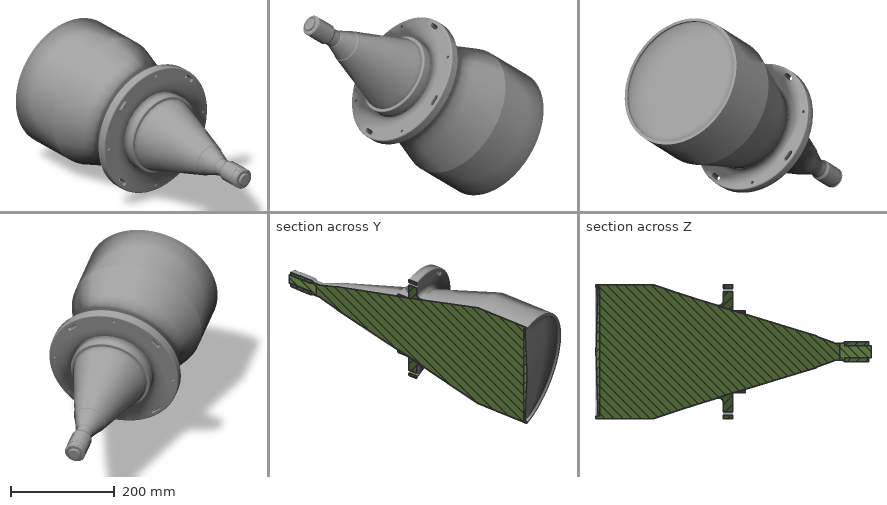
import cadquery as cq
import math

total_length = 531.0
mouth_radius = 130.0

cylinder_length = 110.0
knee_x = 236.5
knee_radius = 89.0
cone_end_x = 425.0
cone_end_radius = 31.5
cone_end_chamfer = 1.5
tip_end_x = 459.0
tip_end_radius = 18.0
tip_end_chamfer = 1.0
neck_radius = tip_end_radius - tip_end_chamfer
neck_end_x = 470.5

lens_radius = 124.0
lens_rim_setback = 4.0
lens_rim_thickness = 4.0
lens_back_x = lens_rim_setback + lens_rim_thickness

hub_front_x = knee_x
hub_radius = knee_radius + 0.5
hub_fillet = 8.0
flange_front_x = 245.5
flange_thickness = 19.0
flange_back_x = flange_front_x + flange_thickness
flange_edge_fillet = 2.5
collar_radius = 79.5
collar_back_x = 288.5
collar_edge_fillet = 2.0
bolt_circle_radius = 119.0
slot_length = 23.0
slot_width = 8.5
slot_count = 4
first_slot_angle = 45.0
pin_hole_diameter = 6.5
pin_hole_count = 4

shoulder_cone_x = 476.0
nut_front_x = 480.5
stem_radius = 12.0
stem_chamfer = 1.0

nut_radius = 20.0
nut_back_x = 527.0
nut_edge_chamfer = 1.5
ring_groove_x = 522.0
ring_groove_width = 2.0
ring_groove_depth = 0.8
grip_count = 3
grip_front_x = 513.5
grip_depth = 0.5
land_angle = 38.0
pointer_front_x = 508.5
pointer_width = 1.5
pointer_depth = 0.8


def revolve_about_x(profile, angle=360):
    """Close an (x, radius) outline drawn toward +Z and turn it about the X axis."""
    return profile.close().revolve(angle, (0, 0, 0), (1, 0, 0))


def outline(points):
    """Open chain of straight lines through (x, radius) points."""
    return cq.Workplane("XZ").polyline(points)


def rear_cone_radius(x):
    """Radius of the horn's rear taper, which the flange bore follows."""
    slope = (cone_end_radius - knee_radius) / (cone_end_x - knee_x)
    return knee_radius + slope * (x - knee_x)


def make_lens():
    return revolve_about_x(outline([
        (0, 0),
        (lens_rim_setback, lens_radius),
        (lens_back_x, lens_radius),
        (lens_back_x, 0),
    ]))


def make_horn():
    return revolve_about_x(outline([
        (lens_back_x, 0),
        (lens_back_x, lens_radius),
        (0, lens_radius),
        (0, mouth_radius),
        (cylinder_length, mouth_radius),
        (knee_x, knee_radius),
        (cone_end_x, cone_end_radius),
        (cone_end_x + cone_end_chamfer, cone_end_radius - cone_end_chamfer),
        (tip_end_x, tip_end_radius),
        (tip_end_x + tip_end_chamfer, neck_radius),
        (neck_end_x, neck_radius),
        (neck_end_x, 0),
    ]))


def make_flange():
    fillet_start_x = flange_front_x - hub_fillet
    fillet_outer_radius = hub_radius + hub_fillet
    fillet_mid_offset = hub_fillet * math.sqrt(0.5)
    ring = revolve_about_x(
        cq.Workplane("XZ")
        .moveTo(hub_front_x, knee_radius)
        .lineTo(hub_front_x, hub_radius)
        .lineTo(fillet_start_x, hub_radius)
        .threePointArc(
            (fillet_start_x + fillet_mid_offset, fillet_outer_radius - fillet_mid_offset),
            (flange_front_x, fillet_outer_radius),
        )
        .lineTo(flange_front_x, mouth_radius)
        .lineTo(flange_back_x, mouth_radius)
        .lineTo(flange_back_x, collar_radius)
        .lineTo(collar_back_x, collar_radius)
        .lineTo(collar_back_x, rear_cone_radius(collar_back_x))
    )
    rim_edges = cq.selectors.RadiusNthSelector(-1)
    ring = ring.edges("%CIRCLE").edges(rim_edges).fillet(flange_edge_fillet)
    ring = ring.faces(">X").edges(rim_edges).fillet(collar_edge_fillet)

    front_face = cq.Workplane("YZ", origin=(flange_front_x, 0, 0))
    slots = (
        front_face.polarArray(bolt_circle_radius, first_slot_angle, 360, slot_count)
        .slot2D(slot_length, slot_width, 90)
        .extrude(flange_thickness)
    )
    pin_holes = (
        front_face.polarArray(bolt_circle_radius, 0, 360, pin_hole_count)
        .circle(pin_hole_diameter / 2)
        .extrude(flange_thickness)
    )
    return ring.cut(slots).cut(pin_holes)


def make_plug_core():
    return revolve_about_x(outline([
        (neck_end_x, 0),
        (neck_end_x, neck_radius),
        (shoulder_cone_x, neck_radius),
        (nut_front_x, nut_radius),
        (nut_front_x, stem_radius),
        (total_length - stem_chamfer, stem_radius),
        (total_length, stem_radius - stem_chamfer),
        (total_length, 0),
    ]))


def turned(cutter, angle):
    return cutter.rotate((0, 0, 0), (1, 0, 0), angle)


def make_grip_recess():
    """Shallow finger recess in the nut, centred on the -Z side."""
    grip_angle = 360 / grip_count - land_angle
    floor_radius = nut_radius - grip_depth
    outer_radius = nut_radius + grip_depth
    sector = revolve_about_x(outline([
        (grip_front_x, floor_radius),
        (grip_front_x, outer_radius),
        (ring_groove_x, outer_radius),
        (ring_groove_x, floor_radius),
    ]), grip_angle)
    return turned(sector, 180 - grip_angle / 2)


def make_pointer_groove():
    """Lengthwise marking groove in the nut, on the +Z side."""
    length = ring_groove_x - pointer_front_x
    return (
        cq.Workplane("XY")
        .box(length, pointer_width, 2 * pointer_depth, centered=(False, True, True))
        .translate((pointer_front_x, 0, nut_radius))
    )


def make_nut():
    nut = revolve_about_x(outline([
        (nut_front_x, stem_radius),
        (nut_front_x, nut_radius),
        (ring_groove_x, nut_radius),
        (ring_groove_x, nut_radius - ring_groove_depth),
        (ring_groove_x + ring_groove_width, nut_radius - ring_groove_depth),
        (ring_groove_x + ring_groove_width, nut_radius),
        (nut_back_x - nut_edge_chamfer, nut_radius),
        (nut_back_x, nut_radius - nut_edge_chamfer),
        (nut_back_x, stem_radius),
    ]))
    grip_recess = make_grip_recess()
    pointer_groove = make_pointer_groove()
    for index in range(grip_count):
        angle = index * 360 / grip_count
        nut = nut.cut(turned(grip_recess, angle))
        nut = nut.cut(turned(pointer_groove, angle))
    return nut


lens = make_lens()
horn = make_horn()
flange = make_flange()
plug_core = make_plug_core()
nut = make_nut()

result = cq.Compound.makeCompound([
    lens.val(),
    horn.val(),
    flange.val(),
    plug_core.val(),
    nut.val(),
])